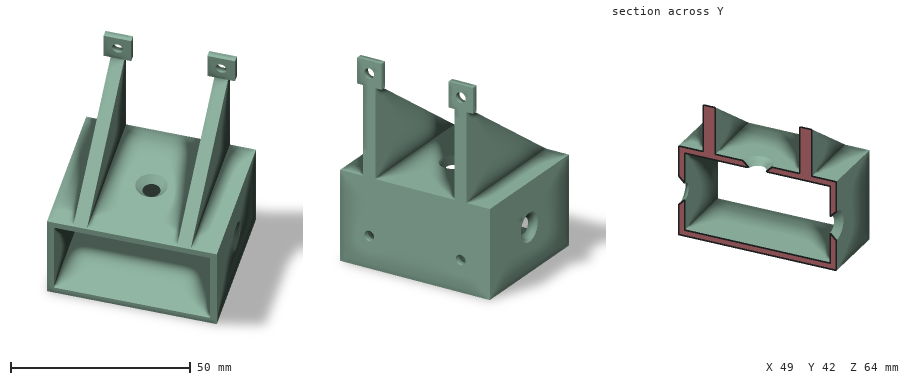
import cadquery as cq

width = 49.0
depth = 42.0
height = 64.0

box_height = 28.0
wall = 2.0
back_wall = 5.0

bracket_offset = 15.0
rib_width = 4.0
tab_size = 8.0
tab_thickness = 2.0
tab_bottom = height - tab_size

small_hole_diameter = 3.2
counterbore_diameter = 6.5
counterbore_depth = 3.0
large_hole_diameter = 5.0
large_sink_diameter = 9.0
back_hole_height = 10.0


def make_box():
    outer = cq.Workplane("XY").box(width, depth, box_height, centered=(True, False, False))
    cavity = (
        cq.Workplane("XY")
        .box(width - 2 * wall, depth - back_wall, box_height - 2 * wall, centered=(True, False, False))
        .translate((0, 0, wall))
    )
    return outer.cut(cavity)


def make_bracket(x):
    rib = (
        cq.Workplane("YZ", origin=(x - rib_width / 2, 0, 0))
        .moveTo(0, box_height)
        .lineTo(depth, box_height)
        .lineTo(depth, tab_bottom)
        .lineTo(depth - tab_thickness, tab_bottom)
        .close()
        .extrude(rib_width)
    )
    tab = (
        cq.Workplane("XY")
        .box(tab_size, tab_thickness, tab_size, centered=(True, False, False))
        .translate((x, depth - tab_thickness, tab_bottom))
    )
    return rib.union(tab)


def countersink(start, direction, hole_diameter, sink_diameter):
    """Cone through one wall, from its wide mouth at start to the hole diameter."""
    return cq.Workplane(
        cq.Solid.makeCone(
            sink_diameter / 2, hole_diameter / 2, wall, cq.Vector(*start), cq.Vector(*direction)
        )
    )


def rod(diameter, length, x, y, z):
    """Cylinder running towards +Y from its front end at (x, y, z)."""
    return cq.Workplane(
        cq.Solid.makeCylinder(diameter / 2, length, cq.Vector(x, y, z), cq.Vector(0, 1, 0))
    )


result = make_box()

back_wall_front = depth - back_wall
for x in (-bracket_offset, bracket_offset):
    result = result.union(make_bracket(x))
    result = result.cut(
        rod(small_hole_diameter, tab_thickness, x, depth - tab_thickness, height - tab_size / 2)
    )
    result = result.cut(rod(small_hole_diameter, back_wall, x, back_wall_front, back_hole_height))
    result = result.cut(
        rod(counterbore_diameter, counterbore_depth, x, back_wall_front, back_hole_height)
    )

for start, direction in (
    ((-width / 2, depth / 2, box_height / 2), (1, 0, 0)),
    ((width / 2, depth / 2, box_height / 2), (-1, 0, 0)),
    ((0, depth / 2, box_height), (0, 0, -1)),
):
    result = result.cut(countersink(start, direction, large_hole_diameter, large_sink_diameter))